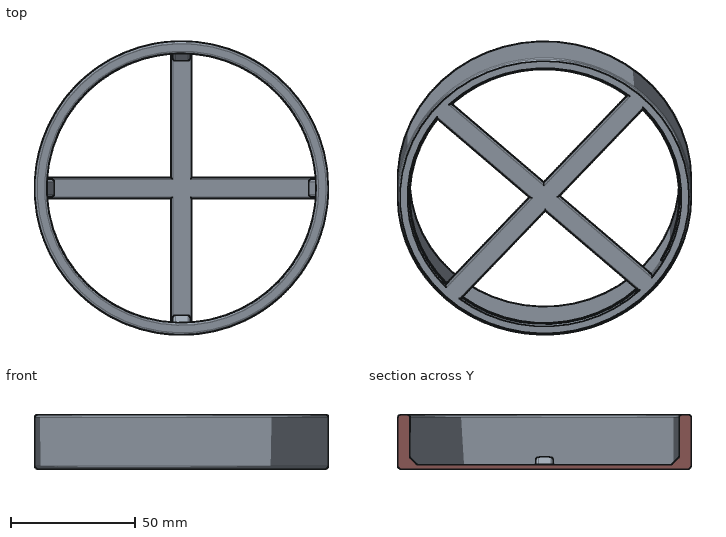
import cadquery as cq
outer_diameter = 118.5
wall_thickness = 5.0
ring_height = 22.0
edge_round = 1.0
bottom_chamfer = 1.0
outer_radius = outer_diameter / 2
inner_radius = outer_radius - wall_thickness

arm_count = 4
arm_width = 8.5
arm_thickness = 2.0
arm_edge_round = 0.7

gusset_run = 3.0
gusset_rise = 3.0
gusset_width = arm_width - 2 * arm_edge_round
gusset_edge_round = 1.0

arm_reach = inner_radius + wall_thickness / 2


def make_ring():
    """Ring with rounded top rims and with bottom chamfers that blend into the wall sides."""
    smallest_circles = cq.selectors.RadiusNthSelector(0)
    largest_circles = cq.selectors.RadiusNthSelector(-1)
    ring = cq.Workplane("XY").circle(outer_radius).circle(inner_radius).extrude(ring_height)
    ring = ring.faces("<Z").edges().chamfer(bottom_chamfer)
    wall_edges = ring.edges(smallest_circles).add(ring.edges(largest_circles))
    return wall_edges.fillet(edge_round)


def make_cross():
    """Two crossed arms with rounded long edges, their ends buried in the ring wall."""
    centering = (True, True, False)
    along_x = cq.Workplane("XY").box(2 * arm_reach, arm_width, arm_thickness, centered=centering)
    along_y = cq.Workplane("XY").box(arm_width, 2 * arm_reach, arm_thickness, centered=centering)
    cross = along_x.union(along_y)
    return cross.faces("<Z or >Z").edges().fillet(arm_edge_round)


def make_gusset():
    """Block on top of the +X arm end, sloping up to the ring wall, with rounded slope sides."""
    toe = inner_radius - gusset_run
    base_z = arm_thickness / 2
    buried_crest = arm_thickness + gusset_rise * (arm_reach - toe) / gusset_run
    wedge = (
        cq.Workplane("XZ")
        .moveTo(toe, base_z)
        .lineTo(toe, arm_thickness)
        .lineTo(arm_reach, buried_crest)
        .lineTo(arm_reach, base_z)
        .close()
        .extrude(gusset_width / 2, both=True)
    )
    slope_sides = wedge.edges("not(|X or |Y or |Z)")
    return slope_sides.fillet(gusset_edge_round)


result = make_ring().union(make_cross())
gusset = make_gusset()
for arm in range(arm_count):
    arm_angle = 360 / arm_count * arm
    result = result.union(gusset.rotate((0, 0, 0), (0, 0, 1), arm_angle))